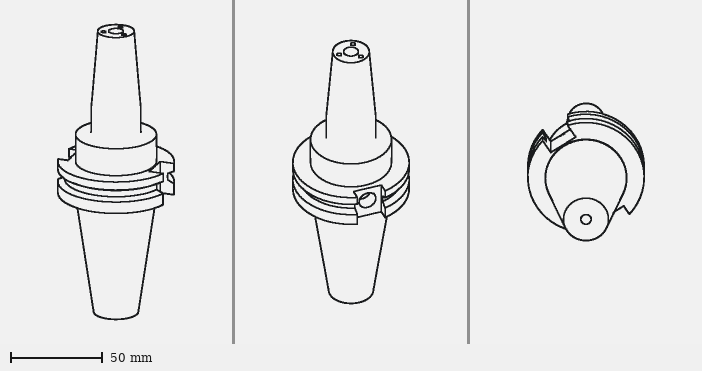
import cadquery as cq

total_height = 163.5
gauge_height = 68.3
flange_bottom = 69.3
flange_top = 87.6
groove_middle = 79.5
collar_top = 103.3
nose_cone_bottom = 118.9

shank_end_radius = 12.3
gauge_radius = 22.2
collar_radius = 22.0
flange_radius = 31.7
groove_floor_radius = 28.1
neck_radius = 13.5
nose_tip_radius = 10.0
neck_fillet = 1.5

groove_floor_width = 3.6
groove_mouth_width = 7.0

slot_width = 16.2
shallow_slot_floor = 25.0
deep_slot_floor = 22.5

pocket_diameter = 9.8
pocket_depth = 8.2

tool_bore_diameter = 8.0
tool_bore_depth = 36.0
through_bore_diameter = 5.5

coolant_count = 3
coolant_diameter = 2.5
coolant_circle_radius = 6.9
coolant_first_angle = 90.0


def turned_body():
    floor_half = groove_floor_width / 2
    mouth_half = groove_mouth_width / 2
    return (
        cq.Workplane("XZ")
        .moveTo(0, 0)
        .lineTo(shank_end_radius, 0)
        .lineTo(gauge_radius, gauge_height)
        .lineTo(collar_radius, gauge_height)
        .lineTo(collar_radius, flange_bottom)
        .lineTo(flange_radius, flange_bottom)
        .lineTo(flange_radius, groove_middle - mouth_half)
        .lineTo(groove_floor_radius, groove_middle - floor_half)
        .lineTo(groove_floor_radius, groove_middle + floor_half)
        .lineTo(flange_radius, groove_middle + mouth_half)
        .lineTo(flange_radius, flange_top)
        .lineTo(collar_radius, flange_top)
        .lineTo(collar_radius, collar_top)
        .lineTo(neck_radius + neck_fillet, collar_top)
        .radiusArc((neck_radius, collar_top + neck_fillet), neck_fillet)
        .lineTo(neck_radius, nose_cone_bottom)
        .lineTo(nose_tip_radius, total_height)
        .lineTo(0, total_height)
        .close()
        .revolve(360, (0, 0, 0), (0, 1, 0))
    )


def drive_slot(floor_distance, side):
    """Slot through the flange; side is -1 for the -X side and +1 for the +X side."""
    radial_length = flange_radius - floor_distance
    middle = side * (floor_distance + flange_radius) / 2
    return (
        cq.Workplane("XY", origin=(middle, 0, flange_bottom))
        .rect(radial_length, slot_width)
        .extrude(flange_top - flange_bottom)
    )


def slot_pocket():
    return (
        cq.Workplane("YZ", origin=(-shallow_slot_floor, 0, groove_middle))
        .circle(pocket_diameter / 2)
        .extrude(pocket_depth)
    )


def stepped_bore():
    through_bore = cq.Workplane("XY").circle(through_bore_diameter / 2).extrude(total_height)
    tool_bore = (
        cq.Workplane("XY", origin=(0, 0, total_height))
        .circle(tool_bore_diameter / 2)
        .extrude(-tool_bore_depth)
    )
    return through_bore.union(tool_bore)


def coolant_hole(angle):
    """Hole parallel to the nose cone surface, ending level with the bottom of the cone."""
    nose_height = total_height - nose_cone_bottom
    flare = neck_radius - nose_tip_radius
    axis = cq.Vector(flare, 0, -nose_height)
    lead_in = axis.normalized() * coolant_diameter
    mouth = cq.Vector(coolant_circle_radius, 0, total_height)
    hole = cq.Solid.makeCylinder(
        coolant_diameter / 2, axis.Length + lead_in.Length, mouth - lead_in, axis
    )
    return cq.Workplane(obj=hole).rotate((0, 0, 0), (0, 0, 1), angle)


result = (
    turned_body()
    .cut(drive_slot(shallow_slot_floor, -1))
    .cut(drive_slot(deep_slot_floor, 1))
    .cut(slot_pocket())
    .cut(stepped_bore())
)
for index in range(coolant_count):
    result = result.cut(coolant_hole(coolant_first_angle + index * 360 / coolant_count))